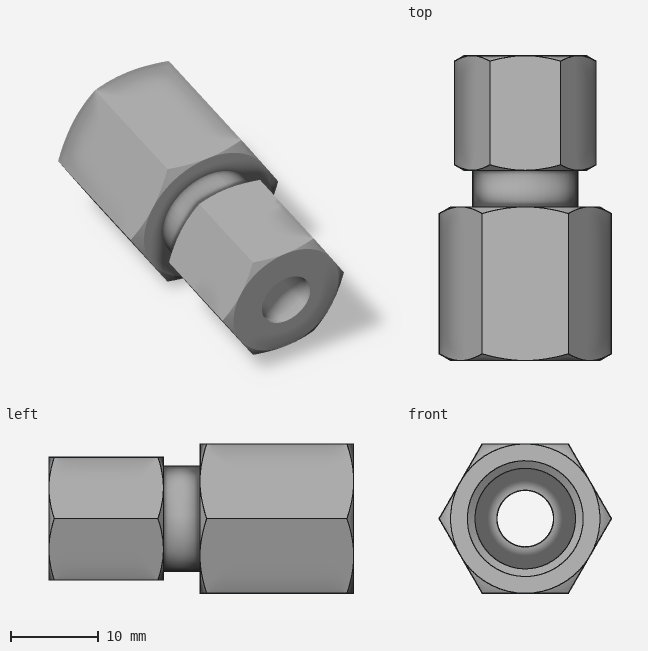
import cadquery as cq
import math

total_length = 34.7
body_length = 17.5
neck_length = 4.15
nut_length = total_length - body_length - neck_length

body_flats = 17.0
nut_flats = 14.0
neck_diameter = 12.0
corner_chamfer_angle = 30.0

through_diameter = 6.42
socket_diameter = 11.45
socket_depth = 12.0
mouth_diameter = 13.2
mouth_depth = (mouth_diameter - socket_diameter) / 2


def cylinder(diameter, start, length):
    """Cylinder on the Y axis, running toward +Y from start."""
    plane = cq.Plane(origin=(0, start, 0), xDir=(1, 0, 0), normal=(0, 1, 0))
    return cq.Workplane(plane).circle(diameter / 2).extrude(length)


def chamfered_hex(flats, start, length):
    """Hexagon with corners on X, its corners turned down conically at both ends."""
    corner_radius = flats / math.sqrt(3)
    flat_radius = flats / 2
    end = start + length
    setback = (corner_radius - flat_radius) * math.tan(math.radians(corner_chamfer_angle))

    plane = cq.Plane(origin=(0, start, 0), xDir=(1, 0, 0), normal=(0, 1, 0))
    prism = cq.Workplane(plane).polygon(6, 2 * corner_radius).extrude(length)
    envelope = (
        cq.Workplane("XY")
        .moveTo(0, start)
        .lineTo(flat_radius, start)
        .lineTo(corner_radius, start + setback)
        .lineTo(corner_radius, end - setback)
        .lineTo(flat_radius, end)
        .lineTo(0, end)
        .close()
        .revolve(360, (0, 0, 0), (0, 1, 0))
    )
    return prism.intersect(envelope)


front = -total_length / 2
neck_start = front + body_length
nut_start = neck_start + neck_length

body = chamfered_hex(body_flats, front, body_length)
neck = cylinder(neck_diameter, neck_start, neck_length)
nut = chamfered_hex(nut_flats, nut_start, nut_length)

through_bore = cylinder(through_diameter, front, total_length)
socket = cylinder(socket_diameter, front, socket_depth)
mouth = (
    cq.Workplane("XY")
    .moveTo(0, front)
    .lineTo(mouth_diameter / 2, front)
    .lineTo(socket_diameter / 2, front + mouth_depth)
    .lineTo(0, front + mouth_depth)
    .close()
    .revolve(360, (0, 0, 0), (0, 1, 0))
)

result = body.union(neck).union(nut).cut(through_bore).cut(socket).cut(mouth)